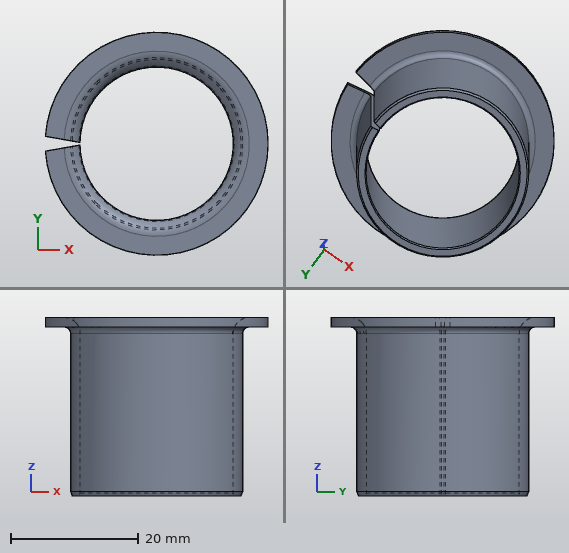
import cadquery as cq
import math

flange_radius = 17.5
height = 28.0
wall = 1.5
bore_radius = 12.0
outer_bend_radius = 1.0
inner_bend_radius = outer_bend_radius + wall

lead_in_height = 0.75
chamfer_angle = 20.0
bore_chamfer_height = 0.5

split_apex_radius = 10.95
split_half_angle = 10.0

sleeve_radius = bore_radius + wall
flange_bottom = height - wall
chamfer_slope = math.tan(math.radians(chamfer_angle))
lead_in_depth = lead_in_height * chamfer_slope
bore_chamfer_depth = bore_chamfer_height * chamfer_slope


def bent_wall():
    """Revolve the wall section, whose two bend arcs share one centre."""
    bend_x = sleeve_radius + outer_bend_radius
    bend_z = flange_bottom - outer_bend_radius
    diagonal = math.sqrt(0.5)

    def bend_middle(radius):
        return (bend_x - radius * diagonal, bend_z + radius * diagonal)

    section = (
        cq.Workplane("XZ")
        .moveTo(bore_radius + bore_chamfer_depth, 0)
        .lineTo(sleeve_radius - lead_in_depth, 0)
        .lineTo(sleeve_radius, lead_in_height)
        .lineTo(sleeve_radius, bend_z)
        .threePointArc(bend_middle(outer_bend_radius), (bend_x, flange_bottom))
        .lineTo(flange_radius, flange_bottom)
        .lineTo(flange_radius, height)
        .lineTo(bend_x, height)
        .threePointArc(bend_middle(inner_bend_radius), (bore_radius, bend_z))
        .lineTo(bore_radius, bore_chamfer_height)
        .close()
    )
    return section.revolve(360, (0, 0, 0), (0, 1, 0)).rotate((0, 0, 0), (0, 0, 1), 180)


def split_wedge():
    """Full-height wedge that opens outwards from inside the bore."""
    reach = 1.2 * flange_radius
    half_width = (reach - split_apex_radius) * math.tan(math.radians(split_half_angle))
    corners = [(-split_apex_radius, 0), (-reach, half_width), (-reach, -half_width)]
    return cq.Workplane("XY").polyline(corners).close().extrude(height)


result = bent_wall().cut(split_wedge())